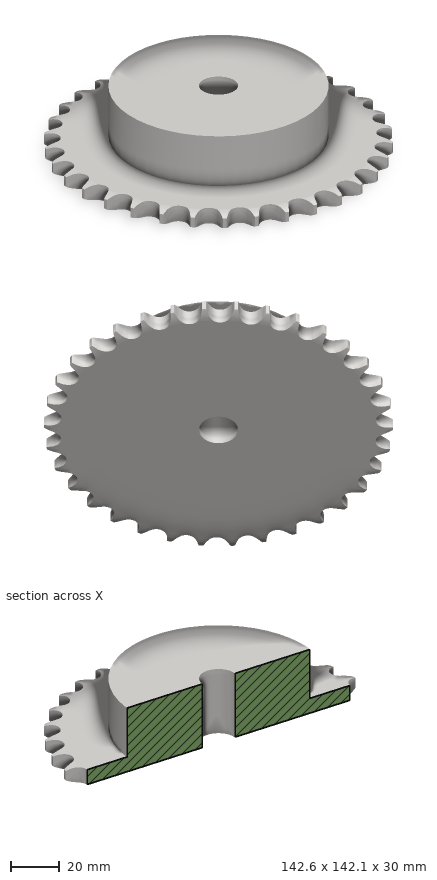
import cadquery as cq
import math

tooth_count = 34
tip_diameter = 142.6
plate_thickness = 7.1
total_height = 30.0
hub_diameter = 90.0
bore_diameter = 16.0

chain_pitch = 12.7
roller_diameter = 8.5

bevel_arc_radius = chain_pitch
bevel_start_radius = 65.6

tip_radius = tip_diameter / 2
tooth_angle = 2 * math.pi / tooth_count
pitch_radius = chain_pitch / (2 * math.sin(tooth_angle / 2))

seat_reach_factor = 0.8
topping_reach_factor = 1.4
working_radius_factor = 1.3025
seat_radius = roller_diameter / 2
seat_half_angle = math.radians(55 - 60 / tooth_count)
working_angle = math.radians(18 - 56 / tooth_count)
pressure_angle = math.radians(17 - 64 / tooth_count)
working_radius = working_radius_factor * roller_diameter
straight_length = roller_diameter * (
    topping_reach_factor * math.sin(pressure_angle)
    - seat_reach_factor * math.sin(working_angle)
)
topping_radius = roller_diameter * (
    seat_reach_factor * math.cos(working_angle)
    + topping_reach_factor * math.cos(pressure_angle)
    - working_radius_factor
)


def polar(radius, angle):
    """Point at a radius and angle about the sprocket axis."""
    return (radius * math.cos(angle), radius * math.sin(angle))


def moved(point, distance, heading):
    """Point shifted by a distance along a heading."""
    dx, dy = polar(distance, heading)
    return (point[0] + dx, point[1] + dy)


def half_gap_profile():
    """Points of the half gap at positive Y for a gap centred on +X, root first."""
    roller_center = (pitch_radius, 0)
    root = (pitch_radius - seat_radius, 0)

    seat_end_normal = math.pi - seat_half_angle
    flank_normal = seat_end_normal - working_angle
    seat_end = moved(roller_center, seat_radius, seat_end_normal)

    working_center = moved(roller_center, seat_radius - working_radius, seat_end_normal)
    working_middle = moved(working_center, working_radius, seat_end_normal - working_angle / 2)
    working_end = moved(working_center, working_radius, flank_normal)

    straight_end = moved(working_end, straight_length, flank_normal - math.pi / 2)

    topping_center = moved(straight_end, topping_radius, flank_normal)
    center_distance = math.hypot(*topping_center)
    center_angle = math.atan2(topping_center[1], topping_center[0])
    tip_offset = math.acos(
        (tip_radius**2 + center_distance**2 - topping_radius**2)
        / (2 * tip_radius * center_distance)
    )
    tip_corner = polar(tip_radius, center_angle - tip_offset)
    start_heading = flank_normal - math.pi
    end_heading = math.atan2(
        tip_corner[1] - topping_center[1], tip_corner[0] - topping_center[0]
    )
    topping_middle = moved(topping_center, topping_radius, (start_heading + end_heading) / 2)

    return (
        root, seat_end, working_middle, working_end,
        straight_end, topping_middle, tip_corner,
    )


def turned(point, angle, mirror=False):
    """Point turned about the sprocket axis, first mirrored in the X axis if asked."""
    x, y = point
    if mirror:
        y = -y
    return polar(math.hypot(x, y), math.atan2(y, x) + angle)


def toothed_blank():
    """Flat plate with all teeth; one tooth points along +X."""
    profile = half_gap_profile()
    tip_corner = profile[-1]

    outline = cq.Workplane("XY").moveTo(*turned(tip_corner, tooth_angle / 2, mirror=True))
    for i in range(tooth_count):
        gap_angle = (i + 0.5) * tooth_angle
        next_tooth = (i + 1) * tooth_angle
        next_gap = gap_angle + tooth_angle
        rise = [turned(point, gap_angle) for point in profile]
        fall = [turned(point, gap_angle, mirror=True) for point in profile]
        root, seat_out, working_mid_out, working_out, straight_out, topping_mid_out, tip_out = rise
        _, seat_in, working_mid_in, working_in, straight_in, topping_mid_in, _ = fall
        outline = (
            outline
            .threePointArc(topping_mid_in, straight_in)
            .lineTo(*working_in)
            .threePointArc(working_mid_in, seat_in)
            .threePointArc(root, seat_out)
            .threePointArc(working_mid_out, working_out)
            .lineTo(*straight_out)
            .threePointArc(topping_mid_out, tip_out)
            .threePointArc(polar(tip_radius, next_tooth), turned(tip_corner, next_gap, mirror=True))
        )
    return outline.close().extrude(plate_thickness)


def rim_envelope():
    """Disc whose rim curves in from both faces towards the tooth tips."""
    def bevel_depth(radius):
        run = radius - bevel_start_radius
        return bevel_arc_radius - math.sqrt(bevel_arc_radius**2 - run**2)

    middle_radius = (bevel_start_radius + tip_radius) / 2
    middle_depth = bevel_depth(middle_radius)
    tip_depth = bevel_depth(tip_radius)
    return (
        cq.Workplane("XZ")
        .lineTo(bevel_start_radius, 0)
        .threePointArc((middle_radius, middle_depth), (tip_radius, tip_depth))
        .lineTo(tip_radius, plate_thickness - tip_depth)
        .threePointArc(
            (middle_radius, plate_thickness - middle_depth),
            (bevel_start_radius, plate_thickness),
        )
        .lineTo(0, plate_thickness)
        .close()
        .revolve(360, (0, 0, 0), (0, 1, 0))
    )


plate = toothed_blank().intersect(rim_envelope())
hub = cq.Workplane("XY").circle(hub_diameter / 2).extrude(total_height)
bore = cq.Workplane("XY").circle(bore_diameter / 2).extrude(total_height)

result = plate.union(hub).cut(bore)